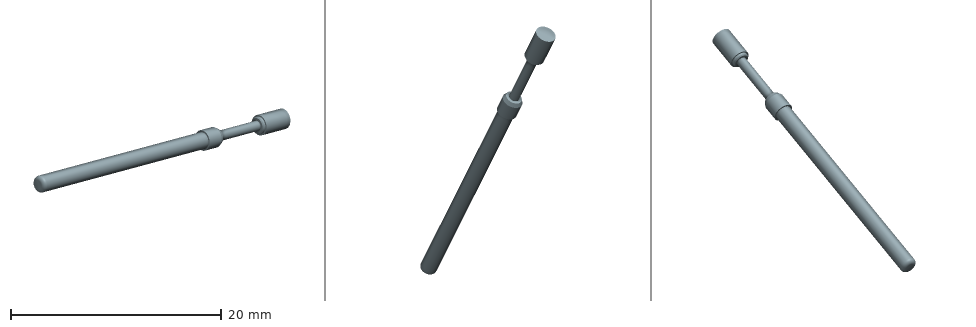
import cadquery as cq
import math

total_length = 32.8

head_radius = 1.0
head_length = 3.2

step_radius = 0.85
step_length = 0.3
step_chamfer = 0.1

neck_radius = 0.5
neck_length = 5.3

collar_radius = 1.0
collar_length = 2.0
collar_cone_length = 0.4
collar_cone_drop = 0.2

barrel_radius = 0.825
tip_fillet = 0.4

head_face_y = total_length / 2
step_y = head_face_y - head_length
neck_start_y = step_y - step_length
collar_start_y = neck_start_y - neck_length
collar_end_y = collar_start_y - collar_length
tip_y = -total_length / 2


def turn(profile):
    """Revolve a closed (y, z) half profile about the Y axis."""
    return profile.close().revolve(360, (0, 0, 0), (1, 0, 0))


def make_plunger():
    """Head, chamfered step facing the neck, and the neck itself."""
    profile = (
        cq.Workplane("YZ")
        .moveTo(head_face_y, 0)
        .lineTo(head_face_y, head_radius)
        .lineTo(step_y, head_radius)
        .lineTo(step_y, step_radius)
        .lineTo(neck_start_y + step_chamfer, step_radius)
        .lineTo(neck_start_y, step_radius - step_chamfer)
        .lineTo(neck_start_y, neck_radius)
        .lineTo(collar_start_y, neck_radius)
        .lineTo(collar_start_y, 0)
    )
    return turn(profile)


def make_collar():
    """Stop collar, tapered on the side facing the neck."""
    profile = (
        cq.Workplane("YZ")
        .moveTo(collar_start_y, 0)
        .lineTo(collar_start_y, collar_radius - collar_cone_drop)
        .lineTo(collar_start_y - collar_cone_length, collar_radius)
        .lineTo(collar_end_y, collar_radius)
        .lineTo(collar_end_y, 0)
    )
    return turn(profile)


def make_barrel():
    """Long barrel with a rounded edge at its flat tip."""
    tip_flat_radius = barrel_radius - tip_fillet
    fillet_start_y = tip_y + tip_fillet
    fillet_diagonal = tip_fillet * math.sqrt(0.5)
    profile = (
        cq.Workplane("YZ")
        .moveTo(collar_end_y, 0)
        .lineTo(collar_end_y, barrel_radius)
        .lineTo(fillet_start_y, barrel_radius)
        .threePointArc(
            (fillet_start_y - fillet_diagonal, tip_flat_radius + fillet_diagonal),
            (tip_y, tip_flat_radius),
        )
        .lineTo(tip_y, 0)
    )
    return turn(profile)


result = make_plunger().union(make_collar()).union(make_barrel())